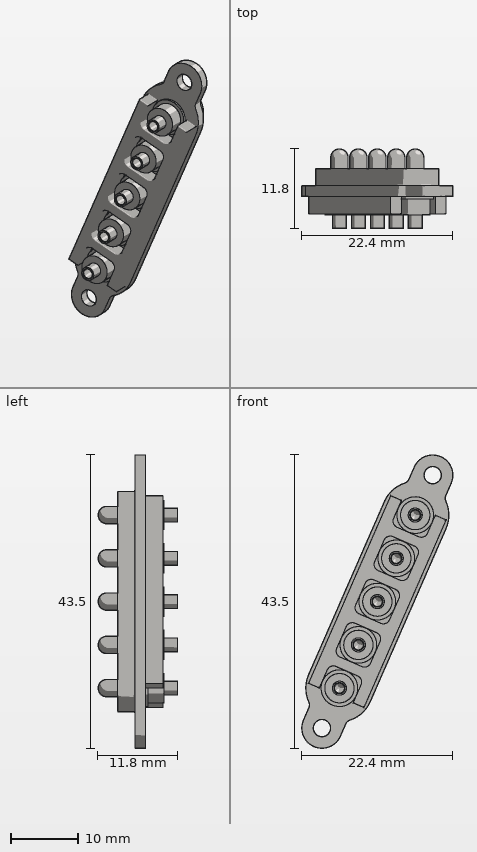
import cadquery as cq
import math

LEAN_ANGLE = 23.65

PIN_COUNT = 5
PIN_PITCH = 7.0
PIN_RADIUS = 1.3
PIN_TIP = 7.05
TAIL_RADIUS = 1.05
TAIL_END = -4.75
COLLAR_RADIUS = 2.18
COLLAR_END = -2.75
SEAT_RADIUS = 2.72
SEAT_END = -0.4
CUP_RADIUS = 0.75
CUP_MOUTH_CHAMFER = 0.1
CUP_DEPTH = 2.0
CUP_POINT_ANGLE = 118.0

FLANGE_THICKNESS = 1.6
FLANGE_RADIUS = 5.0
EAR_SPACING = 40.95
EAR_RADIUS = 3.0
EAR_HOLE_RADIUS = 1.25
EAR_BLEND_RADIUS = 1.0

LIP_RADIUS = 3.53
LIP_TOP = 4.15

SHROUD_LENGTH = 30.4
SHROUD_WIDTH = 8.95
SHROUD_DEPTH = 2.6
POCKET_SIDE = 5.5
POCKET_CORNER_RADIUS = 1.0

EDGE_ROUND = 0.15
SHROUD_ROOT_ROUND = 0.065

PIN_ROW_LENGTH = (PIN_COUNT - 1) * PIN_PITCH
PIN_PLACES = [i * PIN_PITCH - PIN_ROW_LENGTH / 2 for i in range(PIN_COUNT)]


def slot_plate(radius, bottom, top):
    """Round-ended plate whose end arcs are centred on the two outermost pins."""
    return (
        cq.Workplane("XY", origin=(0, 0, bottom))
        .slot2D(PIN_ROW_LENGTH + 2 * radius, 2 * radius)
        .extrude(top - bottom)
    )


def make_flange():
    """Round-ended plate with a blended mounting ear and hole at each end."""
    ears = (
        cq.Workplane("XY")
        .slot2D(EAR_SPACING + 2 * EAR_RADIUS, 2 * EAR_RADIUS)
        .extrude(FLANGE_THICKNESS)
    )
    flange = slot_plate(FLANGE_RADIUS, 0, FLANGE_THICKNESS).union(ears)

    corner_x = PIN_ROW_LENGTH / 2 + math.sqrt(FLANGE_RADIUS**2 - EAR_RADIUS**2)
    middle = FLANGE_THICKNESS / 2
    for x in (-corner_x, corner_x):
        for y in (-EAR_RADIUS, EAR_RADIUS):
            corner = cq.selectors.NearestToPointSelector((x, y, middle))
            flange = flange.edges("|Z").edges(corner).fillet(EAR_BLEND_RADIUS)

    holes = (
        cq.Workplane("XY")
        .pushPoints([(-EAR_SPACING / 2, 0), (EAR_SPACING / 2, 0)])
        .circle(EAR_HOLE_RADIUS)
        .extrude(FLANGE_THICKNESS)
    )
    flange = flange.faces(">Z").edges().fillet(EDGE_ROUND)
    return flange.cut(holes)


def add_with_rounded_root(base, addition, root_plane, radius):
    """Join an addition to the plate and round the corner where it stands on the given plane."""
    footprint = addition.faces(root_plane).val().BoundingBox()
    joined = base.union(addition)
    root = cq.selectors.BoxSelector(
        (footprint.xmin - radius, footprint.ymin - radius, footprint.zmin - radius),
        (footprint.xmax + radius, footprint.ymax + radius, footprint.zmax + radius),
        boundingbox=True,
    )
    return joined.edges(root).fillet(radius)


def make_pocket(place):
    """Pocket around one pin; an end pocket is lengthened so that it runs off the shroud."""
    overrun = 0
    if abs(place) >= PIN_ROW_LENGTH / 2:
        overrun = math.copysign(POCKET_SIDE, place)
    return (
        cq.Workplane("XY")
        .center(place + overrun / 2, 0)
        .rect(POCKET_SIDE + abs(overrun), POCKET_SIDE)
        .extrude(-SHROUD_DEPTH)
        .edges("|Z")
        .fillet(POCKET_CORNER_RADIUS)
    )


def make_housing():
    """Flange, lip and shroud in one piece, with pockets and bores for the pins."""
    lip = slot_plate(LIP_RADIUS, FLANGE_THICKNESS, LIP_TOP)
    lip = lip.faces(">Z").edges().fillet(EDGE_ROUND)
    shroud = cq.Workplane("XY").rect(SHROUD_LENGTH, SHROUD_WIDTH).extrude(-SHROUD_DEPTH)

    housing = add_with_rounded_root(make_flange(), lip, "<Z", EDGE_ROUND)
    housing = add_with_rounded_root(housing, shroud, ">Z", SHROUD_ROOT_ROUND)
    for place in PIN_PLACES:
        housing = housing.cut(make_pocket(place))
    housing = housing.faces("<Z").edges().fillet(EDGE_ROUND)

    bores = cq.Workplane("XY").pushPoints([(place, 0) for place in PIN_PLACES])
    return housing.cut(bores.circle(PIN_RADIUS).extrude(LIP_TOP))


def make_pin(place):
    """Turned pin: domed tip, stepped collar seated on the pocket floor, hollow solder tail."""
    dome_start = PIN_TIP - PIN_RADIUS
    dome_middle = PIN_RADIUS * math.sqrt(0.5)
    cup_bottom = TAIL_END + CUP_DEPTH
    cup_point = cup_bottom + CUP_RADIUS / math.tan(math.radians(CUP_POINT_ANGLE / 2))
    profile = (
        cq.Workplane("XZ")
        .moveTo(0, cup_point)
        .lineTo(CUP_RADIUS, cup_bottom)
        .lineTo(CUP_RADIUS, TAIL_END + CUP_MOUTH_CHAMFER)
        .lineTo(CUP_RADIUS + CUP_MOUTH_CHAMFER, TAIL_END)
        .lineTo(TAIL_RADIUS, TAIL_END)
        .lineTo(TAIL_RADIUS, COLLAR_END)
        .lineTo(COLLAR_RADIUS, COLLAR_END)
        .lineTo(COLLAR_RADIUS, SEAT_END)
        .lineTo(SEAT_RADIUS, SEAT_END)
        .lineTo(SEAT_RADIUS, 0)
        .lineTo(PIN_RADIUS, 0)
        .lineTo(PIN_RADIUS, dome_start)
        .threePointArc((dome_middle, dome_start + dome_middle), (0, PIN_TIP))
        .close()
    )
    return profile.revolve(360, (0, 0), (0, 1)).translate((place, 0, 0))


def put_in_place(body):
    """Turn a body from the local layout into its final attitude."""
    upright = body.rotate((0, 0, 0), (1, 0, 0), -90)
    return upright.rotate((0, 0, 0), (0, 1, 0), LEAN_ANGLE - 90)


housing = put_in_place(make_housing())
pins = [put_in_place(make_pin(place)) for place in PIN_PLACES]

result = cq.Compound.makeCompound([housing.val(), *[pin.val() for pin in pins]])